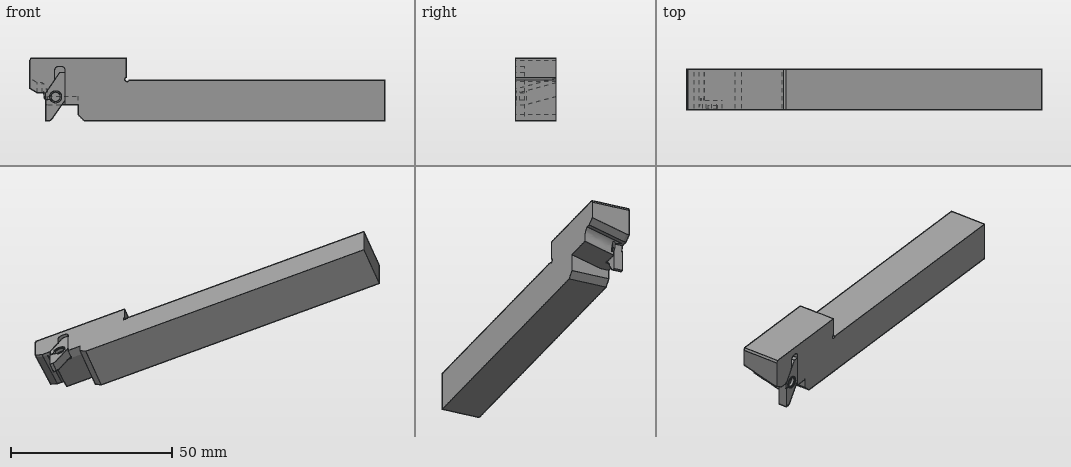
import cadquery as cq
import math

length = 110.0
width = 12.6
height = 19.5
shank_top = 12.6
head_length = 29.9
end_chamfer_x = 0.3
end_chamfer_z = 0.8
corner_relief_radius = 0.7
corner_relief_offset = 0.2

nose_bottom = 10.1
ceiling_z = 8.7
nose_slope_end = 2.3
throat_start = 3.7
throat_mid = (5.1, 7.5)
throat_end_x = 5.4
throat_end_z = 5.4
floor_z = 5.0
step_x = 15.0
shank_chamfer = 2.0
relief_slope = math.tan(math.radians(15))
nose_land = 0.9

insert_thickness = 2.9
insert_left = 5.0
insert_right = 11.0
insert_top = 15.0
insert_top_left = 9.2
insert_upper_corner = ceiling_z
insert_lower_corner = 6.5
tip_flat_end = 5.9
tip_mid = (6.6, 0.3)
tip_arc_end = (7.2, 1.0)
slot_width = 3.3
slot_top = 16.9
slot_corner_radius = 1.3

lip_top = (4.2, 9.5)
lip_middle = (4.5, 7.0)
lip_bottom = (5.2, 6.2)
lip_inner_x = 6.2
lip_thickness = 0.7

hole_x = 8.0
hole_z = 7.5
hole_radius = 1.4
hole_depth = 1.3
counterbore_radius = 1.9
counterbore_depth = 0.3
face_step_z = 6.7
face_step_depth = 0.2

clearance = 11.0


def insert_outline(plane):
    """Closed front outline shared by the insert and its seat."""
    return (
        plane.moveTo(insert_left, 0)
        .lineTo(insert_left, insert_upper_corner)
        .lineTo(insert_top_left, insert_top)
        .lineTo(insert_right, insert_top)
        .lineTo(insert_right, insert_lower_corner)
        .lineTo(*tip_arc_end)
        .threePointArc(tip_mid, (tip_flat_end, 0))
        .close()
    )


def rising_cutter(outline, start_y):
    """Sweep a closed front outline from start_y past the back, rising at the relief slope."""
    run = width - start_y + clearance
    direction = cq.Vector(0, run, run * relief_slope)
    return cq.Workplane(cq.Solid.extrudeLinear(outline.val(), [], direction))


def make_blank():
    return (
        cq.Workplane("XZ")
        .moveTo(0, nose_bottom)
        .lineTo(0, height - end_chamfer_z)
        .lineTo(end_chamfer_x, height)
        .lineTo(head_length, height)
        .lineTo(head_length, shank_top)
        .lineTo(length, shank_top)
        .lineTo(length, 0)
        .lineTo(step_x + shank_chamfer, 0)
        .lineTo(step_x, shank_chamfer)
        .lineTo(step_x, floor_z)
        .lineTo(throat_end_x, floor_z)
        .lineTo(throat_end_x, throat_end_z)
        .threePointArc(throat_mid, (throat_start, ceiling_z))
        .lineTo(nose_slope_end, ceiling_z)
        .close()
        .extrude(-width)
    )


def make_corner_relief():
    return (
        cq.Workplane("XZ")
        .center(head_length + corner_relief_offset, shank_top + corner_relief_offset)
        .circle(corner_relief_radius)
        .extrude(-width)
    )


def make_nose_relief():
    nose_run = nose_slope_end / (nose_bottom - ceiling_z)
    outline = (
        cq.Workplane("XZ", origin=(0, nose_land, 0))
        .moveTo(-clearance * nose_run, nose_bottom + clearance)
        .lineTo(nose_slope_end, ceiling_z)
        .lineTo(throat_start, ceiling_z)
        .threePointArc(throat_mid, (throat_end_x, throat_end_z))
        .lineTo(throat_end_x, -clearance)
        .lineTo(-clearance * nose_run, -clearance)
        .close()
    )
    return rising_cutter(outline, nose_land)


def make_floor_relief():
    """Slopes the head's floor upwards behind the insert."""
    outline = (
        cq.Workplane("XZ", origin=(0, insert_thickness, 0))
        .moveTo(throat_end_x, floor_z)
        .lineTo(step_x, floor_z)
        .lineTo(step_x, -clearance)
        .lineTo(throat_end_x, -clearance)
        .close()
    )
    return rising_cutter(outline, insert_thickness)


def make_pocket():
    """Insert seat, open downwards, with a rounded slot above it."""
    seat = insert_outline(cq.Workplane("XZ")).extrude(-insert_thickness)
    below = (
        cq.Workplane("XZ")
        .moveTo(throat_start, 0)
        .lineTo(throat_start, ceiling_z)
        .lineTo(insert_left, ceiling_z)
        .lineTo(insert_left, insert_lower_corner)
        .lineTo(insert_right, insert_lower_corner)
        .lineTo(insert_right, 0)
        .close()
        .extrude(-insert_thickness)
    )
    slot_height = slot_top - hole_z
    slot = (
        cq.Workplane("XZ")
        .center(insert_right - slot_width / 2, slot_top - slot_height / 2)
        .rect(slot_width, slot_height)
        .extrude(-insert_thickness)
        .edges("|Y and >Z")
        .fillet(slot_corner_radius)
    )
    return seat.union(below).union(slot)


def make_seat_lip():
    """Thin lip under the ceiling that backs the edge of the insert."""
    return (
        cq.Workplane("XZ", origin=(0, insert_thickness, 0))
        .polyline([lip_top, lip_middle, lip_bottom, (lip_inner_x, lip_bottom[1]), (lip_inner_x, lip_top[1])])
        .close()
        .extrude(-lip_thickness)
    )


def make_holder():
    return (
        make_blank()
        .cut(make_corner_relief())
        .cut(make_nose_relief())
        .cut(make_floor_relief())
        .union(make_seat_lip())
        .cut(make_pocket())
    )


def make_insert():
    body = insert_outline(cq.Workplane("XZ")).extrude(-insert_thickness)
    hole = cq.Workplane("XZ").center(hole_x, hole_z)
    blind_hole = hole.circle(hole_radius).extrude(-hole_depth)
    counterbore = hole.circle(counterbore_radius).extrude(-counterbore_depth)
    face_step = (
        cq.Workplane("YZ", origin=(insert_left, 0, 0))
        .moveTo(0, face_step_z)
        .lineTo(face_step_depth, face_step_z)
        .lineTo(0, insert_upper_corner)
        .close()
        .extrude(hole_x - counterbore_radius - insert_left + face_step_depth)
    )
    return body.cut(blind_hole).cut(counterbore).cut(face_step)


holder = make_holder()
insert = make_insert()
result = cq.Compound.makeCompound([*holder.solids().vals(), *insert.solids().vals()])